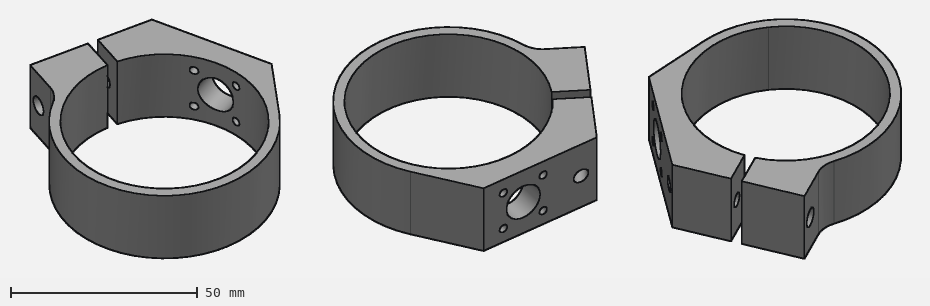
import cadquery as cq
import math

height = 22.0
outer_radius = 30.95
bore_radius = 27.9

pad_y = 35.0
pad_right_x = 13.0

split_angle = 150
split_width = 3.0
lug_face_distance = 38.35
lug_thickness = 17.95
lug_fillet_radius = 8.0

screw_distance = 33.8
clearance_diameter = 5.5
tapped_diameter = 4.1

pad_hole_diameter = 10.9
pad_screw_diameter = 2.45
pad_screw_spacing_x = 13.0
pad_screw_spacing_z = 12.5

angle = math.radians(split_angle)
outward = cq.Vector(math.cos(angle), math.sin(angle), 0)
across = cq.Vector(math.sin(angle), -math.cos(angle), 0)


def lug_point(distance, offset):
    """Point at a distance along the split and an offset across it, at mid height."""
    return outward * distance + across * offset


def xy(point):
    return (point.x, point.y)


lug_bottom = -(split_width / 2 + lug_thickness)
fillet_offset = lug_bottom - lug_fillet_radius
center_distance = outer_radius + lug_fillet_radius
fillet_distance = math.sqrt(center_distance**2 - fillet_offset**2)
fillet_center = lug_point(fillet_distance, fillet_offset)
fillet_start = lug_point(fillet_distance, lug_bottom)
fillet_end = fillet_center * (outer_radius / center_distance)
to_start = (fillet_start - fillet_center).normalized()
to_end = (fillet_end - fillet_center).normalized()
fillet_middle = fillet_center + (to_start + to_end).normalized() * lug_fillet_radius

pad_left_x = (lug_face_distance - pad_y * outward.y) / outward.x
corner_angle = math.atan2(pad_y, pad_right_x)
tangent_angle = corner_angle - math.acos(outer_radius / math.hypot(pad_right_x, pad_y))
tangent_point = (outer_radius * math.cos(tangent_angle), outer_radius * math.sin(tangent_angle))

body = (
    cq.Workplane("XY")
    .workplane(offset=-height / 2)
    .moveTo(pad_left_x, pad_y)
    .lineTo(pad_right_x, pad_y)
    .lineTo(*tangent_point)
    .threePointArc((0, -outer_radius), xy(fillet_end))
    .threePointArc(xy(fillet_middle), xy(fillet_start))
    .lineTo(*xy(lug_point(lug_face_distance, lug_bottom)))
    .close()
    .extrude(height)
)
bore = cq.Workplane("XY").circle(bore_radius).extrude(height, both=True)
split = (
    cq.Workplane("XY")
    .box(lug_face_distance * 2, split_width, height, centered=(False, True, True))
    .rotate((0, 0, 0), (0, 0, 1), split_angle)
)


def screw_hole(diameter, direction):
    """Hole from the split outward through one lug."""
    plane = cq.Plane(origin=lug_point(screw_distance, 0), xDir=outward, normal=direction)
    return cq.Workplane(plane).circle(diameter / 2).extrude(lug_face_distance)


pad_holes = (
    cq.Workplane("XZ")
    .circle(pad_hole_diameter / 2)
    .extrude(-pad_y)
    .union(
        cq.Workplane("XZ")
        .rect(pad_screw_spacing_x, pad_screw_spacing_z, forConstruction=True)
        .vertices()
        .circle(pad_screw_diameter / 2)
        .extrude(-pad_y)
    )
)

result = (
    body.cut(bore)
    .cut(split)
    .cut(screw_hole(clearance_diameter, across * -1))
    .cut(screw_hole(tapped_diameter, across))
    .cut(pad_holes)
)